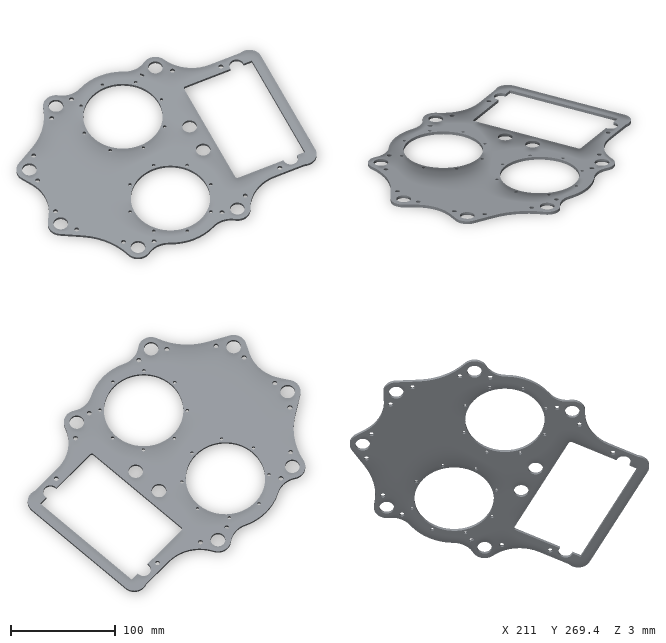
import cadquery as cq
import math

thickness = 3.0

lobe_radius = 12.5
side_lobe_x = 91.5
upper_lobe_y = 37.7
lower_lobe_y = -67.3
foot_lobe_x = 35.0
foot_lobe_y = lobe_radius - 134.7
mounting_hole_diameter = 14.0
center_hole_x = 15.0

dial_x = 53.0
dial_y = (upper_lobe_y + lower_lobe_y) / 2
dial_diameter = 76.0
dial_rim_radius = 211.0 / 2 - dial_x
dial_screw_count = 8
dial_screw_circle_radius = 41.7
dial_screw_diameter = 3.2
dial_screw_tilt = 2.7

top_y = 134.7
head_corner_radius = 12.0
head_half_width = 73.0
neck_half_width = 72.2
neck_blend_radius = 40.5
waist_blend_radius = 21.5
flank_angle = 60.0
flank_length = 22.4
foot_angle = 30.0
foot_arch_radius = 38.5

window_half_width = 59.2
window_top = 124.5
window_bottom = 51.7
window_corner_radius = 2.2
notch_x = 60.3
notch_y = 108.8

rim_screw_diameter = 4.5
rim_screw_points = [
    (65.7, 94.8),
    (81.0, 51.0),
    (92.0, -50.5),
    (80.3, -77.3),
    (48.0, -111.5),
    (20.0, -120.7),
]


waist_screw_x = 89.1
waist_screw_y = 22.5
flat_distance = 0.8
flat_direction = 125.0


def polar(center, radius, degrees):
    angle = math.radians(degrees)
    return (center[0] + radius * math.cos(angle), center[1] + radius * math.sin(angle))


def toward(start, end, distance):
    """Point at a distance from start, in the direction of end."""
    ratio = distance / math.dist(start, end)
    return (start[0] + ratio * (end[0] - start[0]), start[1] + ratio * (end[1] - start[1]))


def arc_middle(center, start, end):
    """Middle of the shorter arc from start to end."""
    chord_middle = ((start[0] + end[0]) / 2, (start[1] + end[1]) / 2)
    return toward(center, chord_middle, math.dist(center, start))


def blend_center(first, first_radius, second, second_radius, blend_radius):
    """Center of a circle touching two circles from outside, right of the way from first to second."""
    gap = math.dist(first, second)
    to_first = first_radius + blend_radius
    to_second = second_radius + blend_radius
    along = (to_first**2 - to_second**2 + gap**2) / (2 * gap)
    aside = math.sqrt(to_first**2 - along**2)
    ux = (second[0] - first[0]) / gap
    uy = (second[1] - first[1]) / gap
    return (first[0] + along * ux + aside * uy, first[1] + along * uy - aside * ux)


def mirrored(points):
    return points + [(-x, y) for x, y in points]


def half_plate():
    """Right half of the plate, bounded on the left by the symmetry plane X = 0."""
    upper_lobe = (side_lobe_x, upper_lobe_y)
    lower_lobe = (side_lobe_x, lower_lobe_y)
    foot_lobe = (foot_lobe_x, foot_lobe_y)
    dial = (dial_x, dial_y)

    head = (head_half_width - head_corner_radius, top_y - head_corner_radius)
    head_start = (head[0], top_y)
    overhang_drop = math.sqrt(head_corner_radius**2 - (neck_half_width - head[0])**2)
    head_end = (neck_half_width, head[1] - overhang_drop)

    neck_x = neck_half_width + neck_blend_radius
    neck_rise = math.sqrt((neck_blend_radius + lobe_radius)**2 - (neck_x - side_lobe_x)**2)
    neck = (neck_x, upper_lobe_y + neck_rise)
    neck_start = (neck_half_width, neck[1])
    neck_end = toward(upper_lobe, neck, lobe_radius)

    upper_waist = blend_center(dial, dial_rim_radius, upper_lobe, lobe_radius, waist_blend_radius)
    lower_waist = (upper_waist[0], 2 * dial_y - upper_waist[1])
    upper_waist_start = toward(upper_lobe, upper_waist, lobe_radius)
    upper_waist_end = toward(dial, upper_waist, dial_rim_radius)
    lower_waist_start = toward(dial, lower_waist, dial_rim_radius)
    lower_waist_end = toward(lower_lobe, lower_waist, lobe_radius)

    flank_normal = flank_angle - 90
    flank_bottom = polar(foot_lobe, lobe_radius, flank_normal)
    flank_top = polar(flank_bottom, flank_length, flank_angle)
    normal = polar((0, 0), 1, flank_normal)
    offset = (flank_top[0] - lower_lobe[0], flank_top[1] - lower_lobe[1])
    offset_along_normal = offset[0] * normal[0] + offset[1] * normal[1]
    flank_radius = (offset[0]**2 + offset[1]**2 - lobe_radius**2) / (2 * (lobe_radius - offset_along_normal))
    flank = polar(flank_top, flank_radius, flank_normal)
    flank_start = toward(lower_lobe, flank, lobe_radius)

    foot_normal = -90 - foot_angle
    foot_contact = polar(foot_lobe, lobe_radius, foot_normal)
    arch_end_x = foot_arch_radius * math.sin(math.radians(foot_angle))
    arch_end_y = foot_contact[1] + (foot_contact[0] - arch_end_x) * math.tan(math.radians(foot_angle))
    arch_end = (arch_end_x, arch_end_y)
    arch = (0, arch_end_y - foot_arch_radius * math.cos(math.radians(foot_angle)))
    arch_top = (0, arch[1] + foot_arch_radius)

    return (
        cq.Workplane("XY")
        .moveTo(0, top_y)
        .lineTo(*head_start)
        .threePointArc(arc_middle(head, head_start, head_end), head_end)
        .lineTo(*neck_start)
        .threePointArc(arc_middle(neck, neck_start, neck_end), neck_end)
        .threePointArc(arc_middle(upper_lobe, neck_end, upper_waist_start), upper_waist_start)
        .threePointArc(arc_middle(upper_waist, upper_waist_start, upper_waist_end), upper_waist_end)
        .threePointArc((dial_x + dial_rim_radius, dial_y), lower_waist_start)
        .threePointArc(arc_middle(lower_waist, lower_waist_start, lower_waist_end), lower_waist_end)
        .threePointArc(arc_middle(lower_lobe, lower_waist_end, flank_start), flank_start)
        .threePointArc(arc_middle(flank, flank_start, flank_top), flank_top)
        .lineTo(*flank_bottom)
        .threePointArc(arc_middle(foot_lobe, flank_bottom, foot_contact), foot_contact)
        .lineTo(*arch_end)
        .threePointArc(arc_middle(arch, arch_end, arch_top), arch_top)
        .close()
        .extrude(thickness)
    )


def cylinders(points, diameter):
    """Cylinders through the full plate thickness."""
    return cq.Workplane("XY").pushPoints(points).circle(diameter / 2).extrude(thickness)


def window():
    height = window_top - window_bottom
    opening = (
        cq.Workplane("XY")
        .center(0, window_bottom + height / 2)
        .rect(2 * window_half_width, height)
        .extrude(thickness)
        .edges("|Z and <Y")
        .fillet(window_corner_radius)
    )
    return opening.union(cylinders(mirrored([(notch_x, notch_y)]), mounting_hole_diameter))


def flat_screw_hole():
    """Left waist screw hole, cut off by a flat on its upper left."""
    center = (-waist_screw_x, waist_screw_y)
    block_size = 2 * rim_screw_diameter
    block_center = polar(center, flat_distance + block_size / 2, flat_direction)
    block = (
        cq.Workplane("XY")
        .transformed(offset=(*block_center, 0), rotate=(0, 0, flat_direction))
        .rect(block_size, block_size)
        .extrude(thickness)
    )
    return cylinders([center], rim_screw_diameter).cut(block)


def dial_screw_points():
    """Screw circle of the right dial, turned slightly clockwise."""
    step = 360 / dial_screw_count
    return [
        polar((dial_x, dial_y), dial_screw_circle_radius, index * step - dial_screw_tilt)
        for index in range(dial_screw_count)
    ]


plug_point = polar((dial_x, dial_y), dial_screw_circle_radius, 180 + dial_screw_tilt)


def make_plate():
    right_half = half_plate()
    plate = right_half.union(right_half.mirror("YZ"))
    mounting_points = [
        (side_lobe_x, upper_lobe_y),
        (center_hole_x, upper_lobe_y),
        (side_lobe_x, lower_lobe_y),
        (foot_lobe_x, foot_lobe_y),
    ]
    plate = plate.cut(window())
    plate = plate.cut(cylinders(mirrored([(dial_x, dial_y)]), dial_diameter))
    plate = plate.cut(cylinders(mirrored(mounting_points), mounting_hole_diameter))
    plate = plate.cut(cylinders(mirrored(rim_screw_points), rim_screw_diameter))
    plate = plate.cut(cylinders([(waist_screw_x, waist_screw_y)], rim_screw_diameter))
    plate = plate.cut(flat_screw_hole())
    plate = plate.cut(cylinders(mirrored(dial_screw_points()), dial_screw_diameter))
    return plate.cut(cylinders([plug_point], dial_screw_diameter))


def make_plug():
    """Small round plug filling its hole flush with both faces of the plate."""
    return cylinders([plug_point], dial_screw_diameter)


plate = make_plate()
plug = make_plug()

result = cq.Compound.makeCompound([plate.solids().val(), plug.val()])